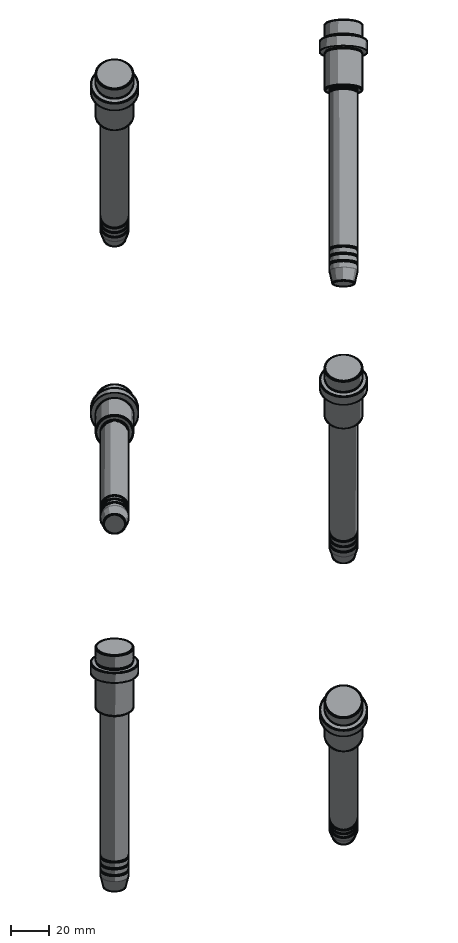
import cadquery as cq

total_length = 141.0
head_length = 9.0
flange_thickness = 6.0
sleeve_length = 20.9
tip_length = 7.0

flange_diameter = 25.0
body_diameter = 20.0
shaft_diameter = 15.0
tip_diameter = 11.7

edge_chamfer = 0.5
flange_chamfer = 0.4
tip_chamfer = 0.4

head_relief_width = 1.3
head_relief_depth = 0.4
head_relief_slope = 0.8
sleeve_relief_width = 1.0
shaft_relief_width = 1.3
relief_depth = 0.5

ring_count = 3
ring_width = 1.0
ring_depth = 0.3
ring_pitch = 4.0
first_ring_height = 10.0

flange_top = total_length - head_length
flange_bottom = flange_top - flange_thickness
sleeve_bottom = flange_bottom - sleeve_length


def cylinder(diameter, bottom, top):
    """Cylinder on the Z axis between two heights."""
    return cq.Workplane("XY").workplane(offset=bottom).circle(diameter / 2).extrude(top - bottom)


def ring_cutter(diameter, bottom, width, depth, lower_slope=0.0, upper_slope=0.0):
    """Ring that cuts a groove; each slope is the axial run of that groove wall."""
    outer = diameter / 2
    inner = outer - depth
    top = bottom + width
    profile = [
        (outer, bottom),
        (inner, bottom + lower_slope),
        (inner, top - upper_slope),
        (outer, top),
    ]
    return cq.Workplane("XZ").polyline(profile).close().revolve(360, (0, 0), (0, 1))


head = cylinder(body_diameter, flange_top, total_length).faces(">Z").chamfer(edge_chamfer)
head = head.cut(
    ring_cutter(body_diameter, flange_top, head_relief_width, head_relief_depth, upper_slope=head_relief_slope)
)
flange = cylinder(flange_diameter, flange_bottom, flange_top).faces(">Z").chamfer(flange_chamfer)
sleeve = cylinder(body_diameter, sleeve_bottom, flange_bottom).faces("<Z").chamfer(edge_chamfer)
sleeve = sleeve.cut(
    ring_cutter(
        body_diameter,
        flange_bottom - sleeve_relief_width,
        sleeve_relief_width,
        relief_depth,
        lower_slope=relief_depth,
    )
)

shaft = cylinder(shaft_diameter, tip_length, sleeve_bottom)
shaft = shaft.cut(
    ring_cutter(
        shaft_diameter,
        sleeve_bottom - shaft_relief_width,
        shaft_relief_width,
        relief_depth,
        upper_slope=relief_depth,
    )
)
for ring in range(ring_count):
    ring_bottom = first_ring_height + ring * ring_pitch
    shaft = shaft.cut(ring_cutter(shaft_diameter, ring_bottom, ring_width, ring_depth, ring_depth, ring_depth))

tip = (
    cq.Workplane("XY")
    .circle(tip_diameter / 2)
    .workplane(offset=tip_length)
    .circle(shaft_diameter / 2)
    .loft(ruled=True)
    .faces("<Z")
    .chamfer(tip_chamfer)
)

result = head.union(flange).union(sleeve).union(shaft).union(tip)